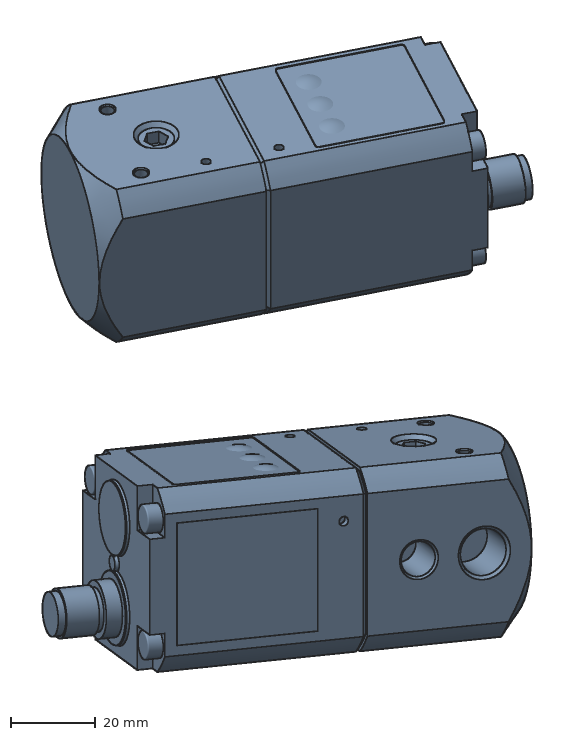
import cadquery as cq
import math

width = 45.1
half_width = width / 2
total_length = 112.7
corner_radius = 28.5
split_y = 41.4
back_y = 96.1
joint_chamfer = 1.0

front_radius = 22.4
front_cone_length = 5.9
port_depth = 13.5
large_port_diameter = 11.5
large_port_chamfer = 0.8
large_port_y = 12.0
small_port_diameter = 8.6
small_port_chamfer = 0.6
small_port_y = 28.4
plug_seat_diameter = 10.7
plug_diameter = 8.6
plug_y = 21.3
plug_seat_depth = 1.1
hex_across_flats = 5.1
hex_depth = 3.4
tapped_diameter = 3.3
tapped_chamfer = 0.3
tapped_x = 13.0
tapped_y = 13.4
tapped_depth = 6.8

marker_diameter = 2.3
marker_depth = 2.3
marker_x = 13.5
block_marker_y = 29.3
housing_marker_y = 47.3
side_marker_z = 11.3

display_width = 32.2
display_length = 31.9
display_centre_y = 71.7
display_depth = 0.2
display_corner = 0.8
button_diameter = 6.1
button_spacing = 9.0
button_y = 61.9
button_rise = 0.3
label_length = 35.4
label_height = 30.0
label_centre_y = 71.6
label_depth = 0.1

screw_x = 17.9
screw_z = 15.4
screw_head_diameter = 7.0
screw_head_fillet = 0.3
screw_clearance = 0.2
notch_y = 92.3

disc_diameter = 18.3
disc_spacing = 22.0
disc_thickness = 1.0
disc_rim_thickness = 0.3
disc_taper = 0.2
small_disc_diameter = 4.2
connector_z = -disc_spacing / 2
flange_diameter = 14.0
flange_end_y = 101.2
thread_diameter = 12.0
thread_start_y = 102.6
thread_end_y = 110.8
neck_diameter = 10.7


def cylinder_along_y(diameter, start_y, end_y, x=0.0, z=0.0):
    """Round bar parallel to Y."""
    return cq.Workplane(cq.Solid.makeCylinder(
        diameter / 2, end_y - start_y, cq.Vector(x, start_y, z), cq.Vector(0, 1, 0)))


def square_bar(start_y, end_y):
    """Square bar with its four long corners turned to the corner radius."""
    length = end_y - start_y
    bar = cq.Workplane("XY").box(width, length, width).translate((0, start_y + length / 2, 0))
    return bar.intersect(cylinder_along_y(2 * corner_radius, start_y, end_y))


def top_plane(x, y, depth=0.0):
    """Workplane at a point of the top face, facing up, sunk by a depth."""
    return cq.Workplane("XY", origin=(x, y, half_width - depth))


def side_plane(y, z):
    """Workplane at a point of the -X face, facing outwards."""
    return cq.Workplane("YZ", origin=(-half_width, y, z)).transformed(rotate=(0, 180, 0))


def chamfered_hole(plane, diameter, depth, chamfer):
    """Cutter for a blind hole with a 45 degree chamfer at its mouth."""
    hole = plane.circle(diameter / 2).extrude(-depth)
    mouth = plane.circle(diameter / 2 + chamfer).extrude(-chamfer, taper=45)
    return hole.union(mouth)


def make_valve_block():
    block = square_bar(0, split_y)

    turned_envelope = (
        cq.Workplane("XY")
        .polyline([
            (0, 0),
            (front_radius, 0),
            (corner_radius, front_cone_length),
            (corner_radius, split_y),
            (0, split_y),
        ])
        .close()
        .revolve(360, (0, 0), (0, 1))
    )
    block = block.intersect(turned_envelope)

    for diameter, chamfer, y in (
        (large_port_diameter, large_port_chamfer, large_port_y),
        (small_port_diameter, small_port_chamfer, small_port_y),
    ):
        block = block.cut(chamfered_hole(side_plane(y, 0), diameter, port_depth, chamfer))

    seat_taper = math.degrees(math.atan((plug_seat_diameter - plug_diameter) / 2 / plug_seat_depth))
    seat = top_plane(0, plug_y).circle(plug_seat_diameter / 2).extrude(-plug_seat_depth, taper=seat_taper)
    socket = (
        top_plane(0, plug_y, plug_seat_depth)
        .transformed(rotate=(0, 0, 90))
        .polygon(6, hex_across_flats / math.cos(math.pi / 6))
        .extrude(-hex_depth)
    )
    block = block.cut(seat).cut(socket)

    for x in (-tapped_x, tapped_x):
        plane = top_plane(x, tapped_y)
        block = block.cut(chamfered_hole(plane, tapped_diameter, tapped_depth, tapped_chamfer))
    marker = top_plane(marker_x, block_marker_y).circle(marker_diameter / 2).extrude(-marker_depth)
    return block.cut(marker)


def cut_display(housing):
    """Shallow window in the top face, with three domed buttons on its floor."""
    window = (
        top_plane(0, display_centre_y)
        .rect(display_width, display_length)
        .extrude(-display_depth)
        .edges("|Z")
        .fillet(display_corner)
    )
    housing = housing.cut(window)
    dome_height = display_depth + button_rise
    button_radius = button_diameter / 2
    sphere_radius = (button_radius**2 + dome_height**2) / (2 * dome_height)
    for index in (-1, 0, 1):
        button = (
            cq.Workplane("XZ")
            .lineTo(button_radius, 0)
            .radiusArc((0, dome_height), -sphere_radius)
            .close()
            .revolve(360, (0, 0), (0, 1))
            .translate((index * button_spacing, button_y, half_width - display_depth))
        )
        housing = housing.union(button)
    return housing


def add_corner_screws(housing):
    """Square notches at the rear corners, each holding a cylindrical screw head."""
    notch_x = screw_x - screw_head_diameter / 2 - screw_clearance
    notch_z = screw_z - screw_head_diameter / 2 - screw_clearance
    for x_side in (-1, 1):
        for z_side in (-1, 1):
            notch = (
                cq.Workplane("XY")
                .box(half_width, back_y - notch_y, half_width, centered=False)
                .translate((notch_x, notch_y, notch_z))
            )
            if x_side < 0:
                notch = notch.mirror("YZ")
            if z_side < 0:
                notch = notch.mirror("XY")
            head = cylinder_along_y(
                screw_head_diameter, notch_y, back_y, x_side * screw_x, z_side * screw_z)
            head = head.faces(">Y").edges().fillet(screw_head_fillet)
            housing = housing.cut(notch).union(head)
    return housing


def tapered_disc(diameter, z):
    """Thin disc on the rear face: a slight cone topped by a straight rim."""
    base_radius = diameter / 2
    rim_radius = base_radius - disc_taper
    return (
        cq.Workplane("XY")
        .polyline([
            (0, 0),
            (base_radius, 0),
            (rim_radius, disc_thickness - disc_rim_thickness),
            (rim_radius, disc_thickness),
            (0, disc_thickness),
        ])
        .close()
        .revolve(360, (0, 0), (0, 1))
        .translate((0, back_y, z))
    )


def add_rear_parts(housing):
    """Discs on the rear face and the stepped round connector on the lower one."""
    disc_end_y = back_y + disc_thickness
    for diameter, z in (
        (disc_diameter, connector_z),
        (small_disc_diameter, 0),
        (disc_diameter, -connector_z),
    ):
        housing = housing.union(tapered_disc(diameter, z))
    connector_steps = (
        (flange_diameter, disc_end_y, flange_end_y),
        (neck_diameter, flange_end_y, thread_start_y),
        (thread_diameter, thread_start_y, thread_end_y),
        (neck_diameter, thread_end_y, total_length),
    )
    for diameter, start_y, end_y in connector_steps:
        housing = housing.union(cylinder_along_y(diameter, start_y, end_y, z=connector_z))
    return housing


def make_sensor_housing():
    housing = square_bar(split_y, back_y).faces("<Y").chamfer(joint_chamfer)
    housing = cut_display(housing)

    label = side_plane(label_centre_y, 0).rect(label_length, label_height).extrude(-label_depth)
    housing = housing.cut(label)

    for plane in (top_plane(marker_x, housing_marker_y), side_plane(housing_marker_y, side_marker_z)):
        housing = housing.cut(plane.circle(marker_diameter / 2).extrude(-marker_depth))

    housing = add_corner_screws(housing)
    return add_rear_parts(housing)


valve_block = make_valve_block()
sensor_housing = make_sensor_housing()
result = cq.Compound.makeCompound([valve_block.val(), sensor_housing.val()])